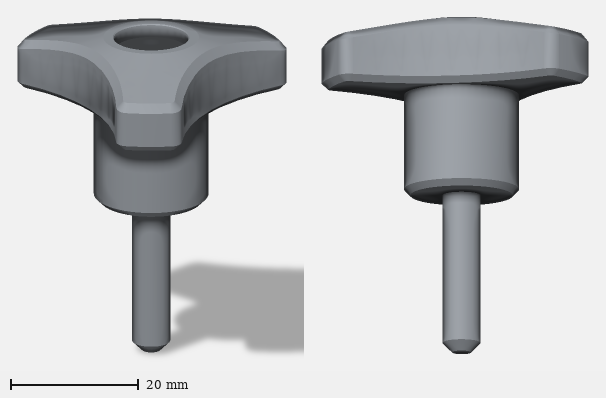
import cadquery as cq
import math

total_height = 52
head_bottom = 41.0
hub_bottom = 25.0

arm_count = 3
arm_angle = 360 / arm_count
tip_radius = 22.4
waist_radius = 10.95
side_radius = 33.0
corner_radius = 1.85
edge_chamfer = 1.0
crown_chamfer = 1.1

flat_diameter = 15.0
crown_drop = 3.45

recess_mouth_diameter = 11.7
recess_floor_diameter = 11.4
recess_depth = 2.1
recess_chamfer = 0.15

hub_diameter = 18.0
stud_diameter = 6.0
stud_chamfer = 1.5


def cylinder(diameter, bottom, top):
    return cq.Workplane("XY").workplane(offset=bottom).circle(diameter / 2).extrude(top - bottom)


def make_head():
    flat_radius = flat_diameter / 2
    head = (
        cq.Workplane("XZ")
        .moveTo(0, head_bottom)
        .lineTo(tip_radius, head_bottom)
        .lineTo(tip_radius, total_height - crown_drop)
        .lineTo(flat_radius, total_height)
        .lineTo(0, total_height)
        .close()
        .revolve(360, (0, 0, 0), (0, 1, 0))
    )

    scallop_distance = waist_radius + side_radius
    for i in range(arm_count):
        angle = math.radians(-90 + i * arm_angle)
        scallop = cylinder(2 * side_radius, head_bottom, total_height).translate(
            (scallop_distance * math.cos(angle), scallop_distance * math.sin(angle), 0)
        )
        head = head.cut(scallop)

    head = head.edges("|Z").fillet(corner_radius)
    head = head.faces("<Z").chamfer(edge_chamfer)
    return head.faces("%CONE").faces(">Z").edges("not %CIRCLE").chamfer(crown_chamfer)


def make_recess():
    mouth_radius = recess_mouth_diameter / 2
    floor = total_height - recess_depth
    return (
        cq.Workplane("XZ")
        .moveTo(0, floor)
        .lineTo(recess_floor_diameter / 2, floor)
        .lineTo(mouth_radius, total_height - recess_chamfer)
        .lineTo(mouth_radius + recess_chamfer, total_height)
        .lineTo(0, total_height)
        .close()
        .revolve(360, (0, 0, 0), (0, 1, 0))
    )


hub = cylinder(hub_diameter, hub_bottom, head_bottom).faces("<Z").chamfer(edge_chamfer)
stud = cylinder(stud_diameter, 0, hub_bottom).faces("<Z").chamfer(stud_chamfer)

result = make_head().union(hub).union(stud).cut(make_recess())